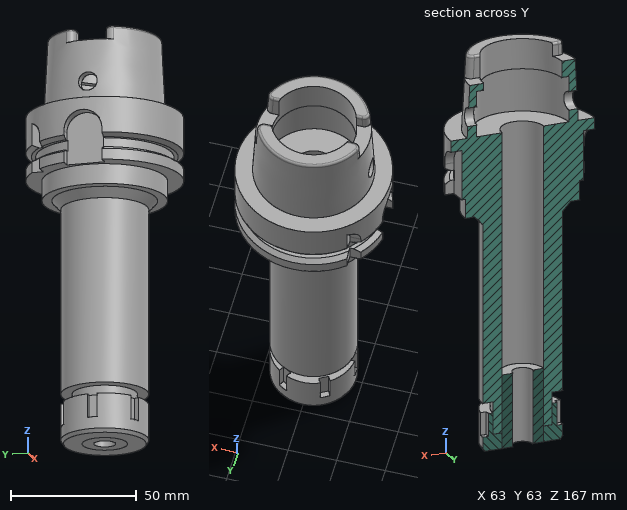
import cadquery as cq
import math


total_height = 167.0
gauge_z = 135.0
flange_bottom_z = 108.9
groove_upper_z = 118.9
groove_lower_z = 114.7
collar_bottom_z = 100.7
barrel_top_z = 97.0
barrel_bottom_z = 20.5
neck_bottom_z = 6.7
nut_height = 16.0

flange_diameter = 63.0
flange_radius = flange_diameter / 2
groove_radius = 27.5
groove_lip_radius = 29.2
groove_lip_height = 1.3
collar_radius = 25.0
cone_top_radius = 21.0
barrel_radius = 17.5
neck_radius = 13.0
taper_foot_radius = 24.4
taper_top_radius = 22.7
taper_edge_fillet = 1.0

mouth_radius = 17.0
mouth_depth = 12.9
undercut_radius = 20.0
chamber_floor_z = gauge_z
through_radius = 9.0

drive_notch_width = 12.4
drive_notch_fillet = 2.5
shallow_notch_depth = 5.7
deep_notch_depth = 9.7

cross_hole_radius = 3.8
cross_hole_z = 143.8

key_slot_width = 15.7
key_slot_top_z = 130.0
key_floor_x = 26.5
side_slot_floor_x = 20.0
side_slot_y = 27.5

nut_radius = barrel_radius
nut_chamfer_height = 1.5
nut_chamfer_width = 1.0
wrench_slot_count = 6
wrench_slot_width = 4.0
wrench_slot_floor_radius = 15.0
wrench_slot_bottom_z = 6.3

collet_length = 31.5
collet_bore_radius = 4.3


def cylinder(radius, bottom_z, top_z):
    return cq.Workplane("XY").workplane(offset=bottom_z).circle(radius).extrude(top_z - bottom_z)


def drive_notch(side, depth):
    """Straight cutter for one rim notch, on the -X or +X side."""
    reach = 2 * taper_foot_radius
    floor_z = total_height - depth
    return (
        cq.Workplane("XY")
        .box(reach, drive_notch_width, 2 * depth, centered=(False, True, False))
        .translate((0 if side > 0 else -reach, 0, floor_z))
    )


def flange_slot(side, floor_x, center_y):
    """Cutter for a round-topped slot, open below and outward, with a floor square to X."""
    slot_radius = key_slot_width / 2
    arc_center_z = key_slot_top_z - slot_radius
    profile = (
        cq.Workplane("YZ")
        .workplane(offset=side * floor_x)
        .moveTo(center_y - slot_radius, flange_bottom_z)
        .lineTo(center_y + slot_radius, flange_bottom_z)
        .lineTo(center_y + slot_radius, arc_center_z)
        .threePointArc((center_y, key_slot_top_z), (center_y - slot_radius, arc_center_z))
        .close()
    )
    return profile.extrude(side * flange_radius)


def make_taper():
    """Hollow taper shank with its rim rounded and notched."""
    taper = (
        cq.Workplane("XZ")
        .moveTo(0, gauge_z)
        .lineTo(taper_foot_radius, gauge_z)
        .lineTo(taper_top_radius, total_height)
        .lineTo(0, total_height)
        .close()
        .revolve(360, (0, 0, 0), (0, 1, 0))
        .cut(cylinder(mouth_radius, total_height - mouth_depth, total_height))
        .cut(cylinder(undercut_radius, chamber_floor_z, total_height - mouth_depth))
    )
    taper = taper.cut(drive_notch(-1, shallow_notch_depth)).cut(drive_notch(1, deep_notch_depth))
    half_notch = drive_notch_width / 2
    corner_x = math.sqrt(taper_top_radius**2 - half_notch**2)
    for side, depth in ((-1, shallow_notch_depth), (1, deep_notch_depth)):
        for wall_y in (-half_notch, half_notch):
            corner = (side * corner_x, wall_y, total_height - depth / 2)
            taper = taper.edges(cq.selectors.NearestToPointSelector(corner)).fillet(drive_notch_fillet)
    for rim_y in (-taper_top_radius, taper_top_radius):
        point = (0, rim_y, total_height)
        taper = taper.edges(cq.selectors.NearestToPointSelector(point)).fillet(taper_edge_fillet)
    cross_hole = (
        cq.Workplane("YZ").center(0, cross_hole_z).circle(cross_hole_radius)
        .extrude(taper_foot_radius, both=True)
    )
    return taper.cut(cross_hole)


def make_lower_holder():
    """Flange, collar, barrel and neck turned in one profile, with the slots cut in the flange."""
    body = (
        cq.Workplane("XZ")
        .moveTo(through_radius, gauge_z)
        .lineTo(flange_radius, gauge_z)
        .lineTo(flange_radius, groove_upper_z + groove_lip_height)
        .lineTo(groove_lip_radius, groove_upper_z)
        .lineTo(groove_radius, groove_upper_z)
        .lineTo(groove_radius, groove_lower_z)
        .lineTo(groove_lip_radius, groove_lower_z)
        .lineTo(flange_radius, groove_lower_z - groove_lip_height)
        .lineTo(flange_radius, flange_bottom_z)
        .lineTo(collar_radius, flange_bottom_z)
        .lineTo(collar_radius, collar_bottom_z)
        .lineTo(cone_top_radius, collar_bottom_z)
        .lineTo(barrel_radius, barrel_top_z)
        .lineTo(barrel_radius, barrel_bottom_z)
        .lineTo(neck_radius, barrel_bottom_z)
        .lineTo(neck_radius, neck_bottom_z)
        .lineTo(through_radius, neck_bottom_z)
        .close()
        .revolve(360, (0, 0, 0), (0, 1, 0))
    )
    for side in (-1, 1):
        body = body.cut(flange_slot(side, key_floor_x, 0))
    return body.cut(flange_slot(-1, side_slot_floor_x, side_slot_y))


def make_nut():
    """Slotted nut: the neck sits in its upper recess, the collet passes through its nose."""
    chamfer_radius = nut_radius - nut_chamfer_width
    nut = (
        cq.Workplane("XZ")
        .moveTo(through_radius, 0)
        .lineTo(chamfer_radius, 0)
        .lineTo(nut_radius, nut_chamfer_height)
        .lineTo(nut_radius, nut_height)
        .lineTo(neck_radius, nut_height)
        .lineTo(neck_radius, neck_bottom_z)
        .lineTo(through_radius, neck_bottom_z)
        .close()
        .revolve(360, (0, 0, 0), (0, 1, 0))
    )
    slot = (
        cq.Workplane("XY")
        .box(nut_radius, wrench_slot_width, nut_height, centered=(False, True, False))
        .translate((wrench_slot_floor_radius, 0, wrench_slot_bottom_z))
    )
    for index in range(wrench_slot_count):
        nut = nut.cut(slot.rotate((0, 0, 0), (0, 0, 1), index * 360 / wrench_slot_count))
    return nut


def make_collet():
    """Plain sleeve in the bore of the holder, flush with the nose of the nut."""
    return cylinder(through_radius, 0, collet_length).cut(cylinder(collet_bore_radius, 0, collet_length))


holder = make_lower_holder().union(make_taper())
nut = make_nut()
collet = make_collet()

result = cq.Compound.makeCompound([holder.val(), nut.val(), collet.val()])